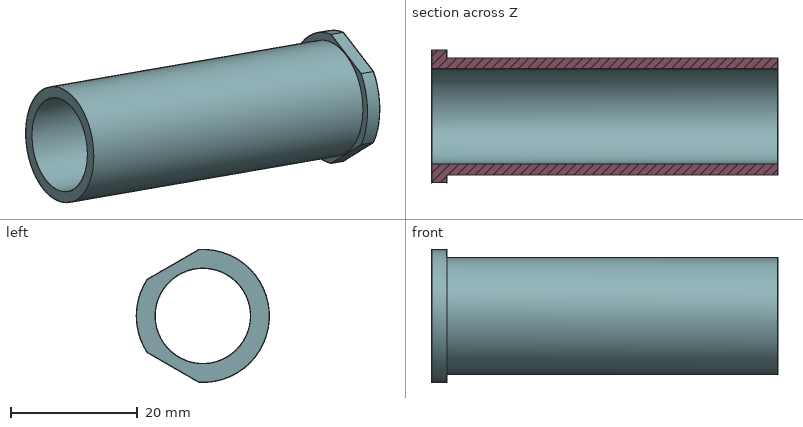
import cadquery as cq

total_length = 54.5
body_diameter = 18.5
bore_diameter = 15.0
flange_diameter = 21.0
flange_thickness = 2.4

flat_distance = 9.4
flat_angle = 60.0


def cylinder(diameter, length):
    """Solid cylinder along +X, starting at X = 0."""
    return cq.Workplane("YZ").circle(diameter / 2).extrude(length)


def flat_cutter(angle):
    """Block that removes the flange rim beyond one flat."""
    block = cq.Workplane("XY").box(
        flange_thickness, flange_diameter, flange_diameter, centered=(False, False, True)
    )
    return block.translate((0, flat_distance, 0)).rotate((0, 0, 0), (1, 0, 0), angle)


flange = cylinder(flange_diameter, flange_thickness)
for angle in (flat_angle, -flat_angle):
    flange = flange.cut(flat_cutter(angle))

body = cylinder(body_diameter, total_length)
bore = cylinder(bore_diameter, total_length)
result = flange.union(body).cut(bore)